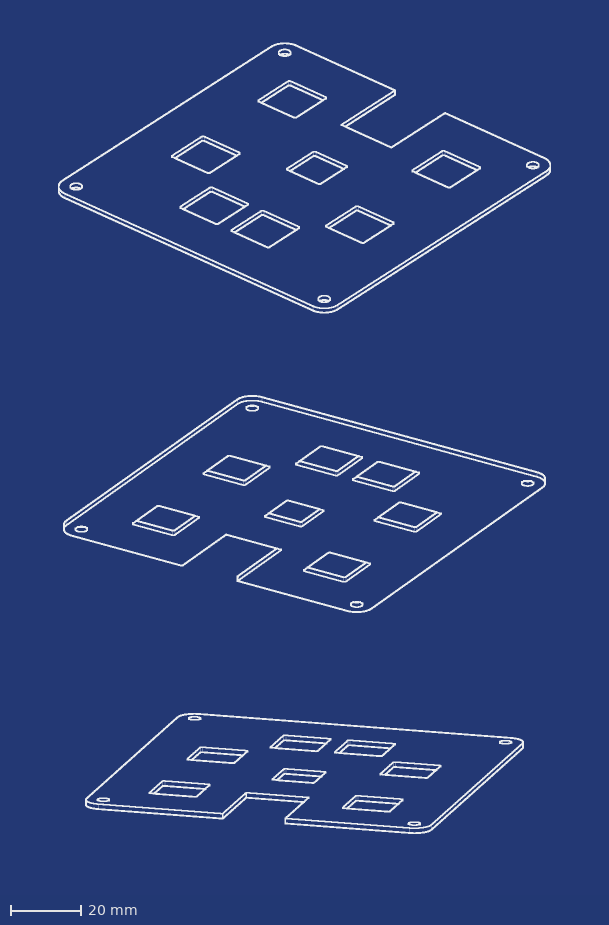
import cadquery as cq

plate_size = 102.0
plate_thickness = 1.5
plate_corner_radius = 5.0

screw_hole_diameter = 3.4
screw_hole_offset = plate_size / 2 - plate_corner_radius

key_pitch = 19.05
key_cutout_size = 14.0
key_corner_radius = 0.5
outer_key_x = 1.5 * key_pitch
inner_key_x = 0.5 * key_pitch
upper_row_y = 1.5 * key_pitch
middle_row_y = -0.5 * key_pitch
lower_row_y = -1.5 * key_pitch
key_rows = [
    (outer_key_x, upper_row_y),
    (outer_key_x, middle_row_y),
    (inner_key_x, lower_row_y),
]

window_size = 12.4
window_corner_radius = 0.5
window_y = 5.5

notch_width = 18.5
notch_depth = 23.7


def make_plate():
    """Square plate with rounded corners, resting on Z = 0."""
    plate = cq.Workplane("XY").rect(plate_size, plate_size).extrude(plate_thickness)
    return plate.edges("|Z").fillet(plate_corner_radius)


def square_cutter(x, y, size, corner_radius):
    """Plate-thick square prism with rounded corners."""
    cutter = cq.Workplane("XY").center(x, y).rect(size, size).extrude(plate_thickness)
    return cutter.edges("|Z").fillet(corner_radius)


def cut_screw_holes(plate):
    hole_spacing = 2 * screw_hole_offset
    holes = (
        cq.Workplane("XY")
        .rect(hole_spacing, hole_spacing, forConstruction=True)
        .vertices()
        .circle(screw_hole_diameter / 2)
        .extrude(plate_thickness)
    )
    return plate.cut(holes)


def cut_key_openings(plate):
    """A mirrored left and right opening in every key row."""
    for x, y in key_rows:
        for side in (-1, 1):
            plate = plate.cut(square_cutter(side * x, y, key_cutout_size, key_corner_radius))
    return plate


def cut_window(plate):
    return plate.cut(square_cutter(0, window_y, window_size, window_corner_radius))


def cut_notch(plate):
    notch_center_y = plate_size / 2 - notch_depth / 2
    notch = (
        cq.Workplane("XY")
        .center(0, notch_center_y)
        .rect(notch_width, notch_depth)
        .extrude(plate_thickness)
    )
    return plate.cut(notch)


result = make_plate()
result = cut_screw_holes(result)
result = cut_key_openings(result)
result = cut_window(result)
result = cut_notch(result)